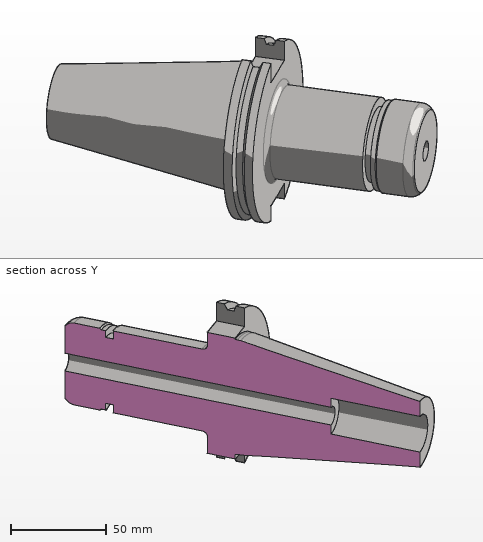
import cadquery as cq

total_length = 201.8
gauge_x = 101.7
flare_x = 103.7
flange_front_x = 105.0
flange_back_x = 120.8

gauge_radius = 35.0
flare_radius = 35.1
taper_ratio = 7 / 24
small_end_radius = gauge_radius - gauge_x * taper_ratio / 2

flange_radius = 97.5 / 2
grip_floor_radius = 45.5
grip_front_x = 109.8
grip_back_x = 116.5
grip_front_bevel = 1.2
grip_back_bevel = 1.8

slot_width = 25.6
top_slot_floor = 35.7
bottom_slot_floor = 38.0
notch_y = 30.0
notch_z = -29.9

shank_radius = 25.0
root_fillet = 2.8
shank_end_x = 174.3

neck_radius = 20.2
neck_end_x = 178.3
ring_radius = 24.2
ring_end_x = 181.0
nut_front_x = 181.8
nut_round_x = 196.3
nut_round_end_x = 201.1
nut_round_end_radius = 22.5
nut_face_radius = 22.0

bore_radius = 10.7
bore_depth = 50.5
through_radius = 5.2


def revolved_body():
    """Solid of revolution: taper, grooved flange, shank and nut."""
    profile = (
        cq.Workplane("XY")
        .moveTo(0, 0)
        .lineTo(0, small_end_radius)
        .lineTo(gauge_x, gauge_radius)
        .lineTo(flare_x, gauge_radius)
        .lineTo(flange_front_x, flare_radius)
        .lineTo(flange_front_x, flange_radius)
        .lineTo(grip_front_x, flange_radius)
        .lineTo(grip_front_x + grip_front_bevel, grip_floor_radius)
        .lineTo(grip_back_x - grip_back_bevel, grip_floor_radius)
        .lineTo(grip_back_x, flange_radius)
        .lineTo(flange_back_x, flange_radius)
        .lineTo(flange_back_x, shank_radius + root_fillet)
        .radiusArc((flange_back_x + root_fillet, shank_radius), -root_fillet)
        .lineTo(shank_end_x, shank_radius)
        .lineTo(shank_end_x, neck_radius)
        .lineTo(neck_end_x, neck_radius)
        .lineTo(neck_end_x, ring_radius)
        .lineTo(ring_end_x, ring_radius)
        .lineTo(nut_front_x, shank_radius)
        .lineTo(nut_round_x, shank_radius)
        .tangentArcPoint((nut_round_end_x, nut_round_end_radius), relative=False)
        .lineTo(total_length, nut_face_radius)
        .lineTo(total_length, 0)
        .close()
    )
    return profile.revolve(360, (0, 0, 0), (1, 0, 0))


def flange_cutter(y_min, y_max, z_min, z_max):
    """Box spanning the flange thickness between the given Y and Z limits."""
    return cq.Workplane("XY").box(
        flange_back_x - flange_front_x, y_max - y_min, z_max - z_min, centered=False
    ).translate((flange_front_x, y_min, z_min))


def bore(radius, depth):
    """Axial cylinder entering from the small end of the taper."""
    return cq.Workplane("YZ").circle(radius).extrude(depth)


half_slot = slot_width / 2
top_slot = flange_cutter(-half_slot, half_slot, top_slot_floor, flange_radius)
bottom_slot = flange_cutter(-half_slot, half_slot, -flange_radius, -bottom_slot_floor)
notch = flange_cutter(notch_y, flange_radius, -flange_radius, notch_z)

result = revolved_body()
for cutter in (top_slot, bottom_slot, notch):
    result = result.cut(cutter)
result = result.cut(bore(bore_radius, bore_depth))
result = result.cut(bore(through_radius, total_length))